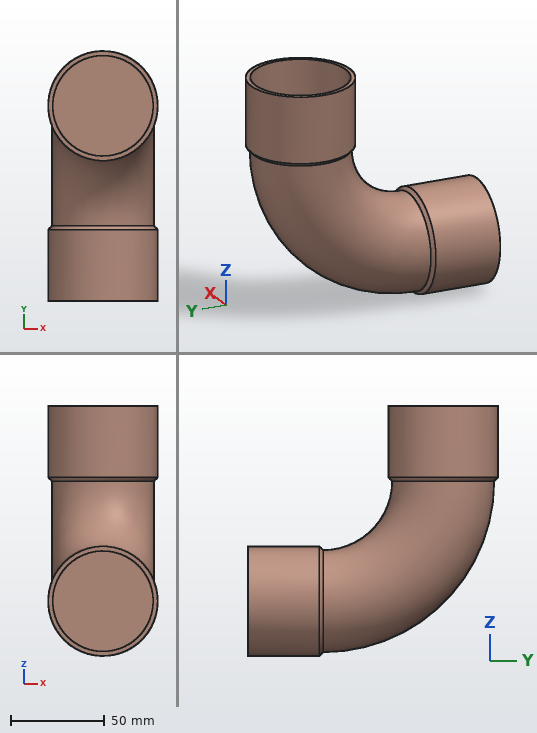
import cadquery as cq

overall_length = 134.41
socket_diameter = 59.0
bore_diameter = 54.0
bend_diameter = 55.0
centerline_radius = 64.5
bend_angle = 90
bore_depth = 34.0

socket_radius = socket_diameter / 2
bore_radius = bore_diameter / 2
bend_radius = bend_diameter / 2
shoulder_length = socket_radius - bend_radius

mouth_distance = overall_length - socket_radius
floor_distance = mouth_distance - bore_depth


def make_bend():
    """Solid quarter bend from the base of the -Y socket to the base of the +Z socket."""
    axis_start = (0, centerline_radius)
    axis_end = (1, centerline_radius)
    return (
        cq.Workplane("XZ", origin=(0, -centerline_radius, 0))
        .circle(bend_radius)
        .revolve(bend_angle, axis_start, axis_end)
    )


def make_socket():
    """Upright blind socket, revolved about Z, with its mouth facing +Z."""
    profile = [
        (0, centerline_radius),
        (bend_radius, centerline_radius),
        (socket_radius, centerline_radius + shoulder_length),
        (socket_radius, mouth_distance),
        (bore_radius, mouth_distance),
        (bore_radius, floor_distance),
        (0, floor_distance),
    ]
    return cq.Workplane("XZ").polyline(profile).close().revolve(360, (0, 0), (0, 1))


top_socket = make_socket()
front_socket = make_socket().rotate((0, 0, 0), (1, 0, 0), bend_angle)

result = make_bend().union(top_socket).union(front_socket)